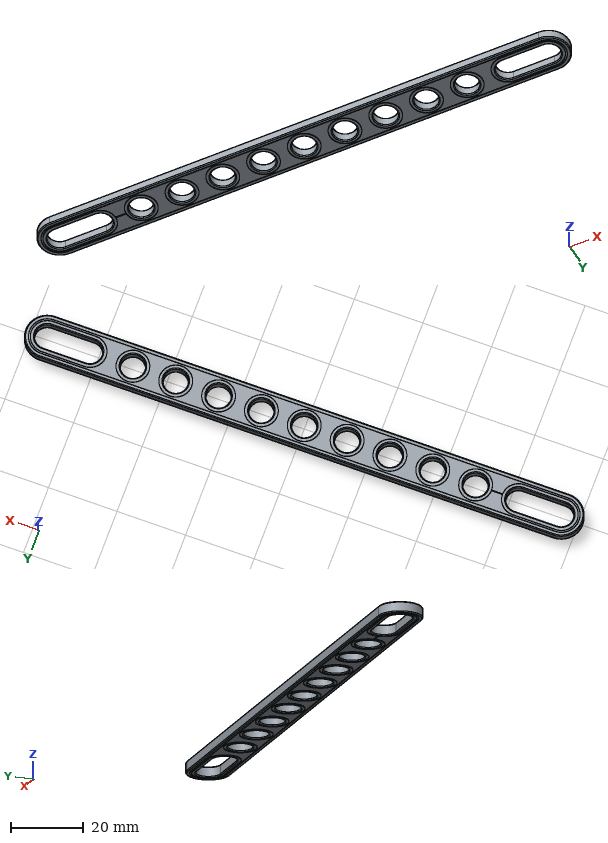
import cadquery as cq

length = 162.5
pitches_in_length = 13
thickness = 3.1
hole_diameter = 7.0
collar_diameter = 9.3
rim_width = 1.1
recess_depth = 0.2
rib_width = 0.2
edge_chamfer = 0.3
round_hole_count = 9

pitch = length / pitches_in_length
width = pitch
slot_span = pitch
first_hole_x = -pitch * (round_hole_count - 1) / 2
slot_centre_x = -first_hole_x + pitch + slot_span / 2
hole_centres = [(first_hole_x + i * pitch, 0) for i in range(round_hole_count)]
slot_centres = [(-slot_centre_x, 0), (slot_centre_x, 0)]

half_thickness = thickness / 2
floor_height = half_thickness - recess_depth


def hole_pattern(diameter, bottom, top):
    """Cylinders at the round holes and matching slot prisms at the end slots."""
    plane = cq.Workplane("XY", origin=(0, 0, bottom))
    cylinders = plane.pushPoints(hole_centres).circle(diameter / 2).extrude(top - bottom)
    prisms = plane.pushPoints(slot_centres).slot2D(slot_span + diameter, diameter).extrude(top - bottom)
    return cylinders.union(prisms)


def face_recess():
    """Material sunk from the upper face, leaving the rim, the collars and the rib proud."""
    plane = cq.Workplane("XY", origin=(0, 0, floor_height))
    inside_rim = plane.slot2D(length - 2 * rim_width, width - 2 * rim_width).extrude(recess_depth)
    collars = hole_pattern(collar_diameter, floor_height, half_thickness)
    rib = plane.center(first_hole_x - pitch / 2, 0).rect(pitch, rib_width).extrude(recess_depth)
    return inside_rim.cut(collars).cut(rib)


bar = cq.Workplane("XY").slot2D(length, width).extrude(half_thickness, both=True)
bar = bar.cut(hole_pattern(hole_diameter, -half_thickness, half_thickness))
bar = bar.faces("<Z or >Z").chamfer(edge_chamfer)

upper_recess = face_recess()
result = bar.cut(upper_recess).cut(upper_recess.mirror("XY"))